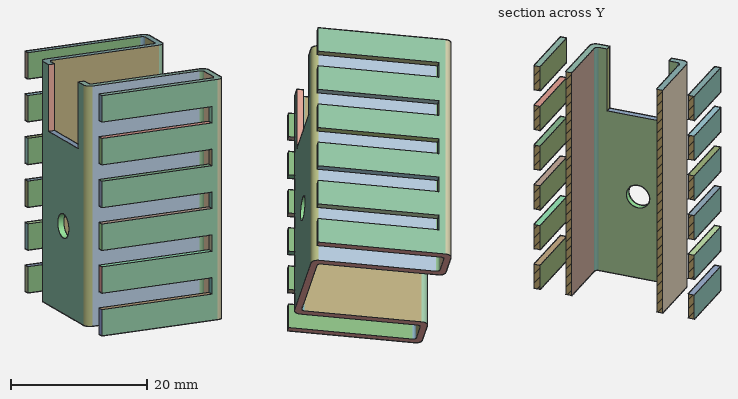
import cadquery as cq

WIDTH = 25.56
DEPTH = 19.99
HEIGHT = 36.83

SHEET = 1.0
OUTER_BEND = 1.0
INNER_BEND = 0.5

CHANNEL_WIDTH = 15.48

FIN_COUNT = 6
SLOT_HEIGHT = 2.5
SLOT_END_TO_BACK = 2.0
FIN_HEIGHT = (HEIGHT - (FIN_COUNT - 1) * SLOT_HEIGHT) / FIN_COUNT
FIN_PITCH = FIN_HEIGHT + SLOT_HEIGHT

NOTCH_WIDTH = 9.8
NOTCH_DEPTH = 10.2
HOLE_DIAMETER = 3.68
HOLE_Z = 13.45

HALF_WIDTH = WIDTH / 2
HALF_CHANNEL = CHANNEL_WIDTH / 2
CHANNEL_INSIDE = HALF_CHANNEL - SHEET
FIN_INSIDE = HALF_WIDTH - SHEET


def upright_block(x_min, x_max, y_min, y_max, z_min, z_max):
    """Box between the given limits."""
    size = (x_max - x_min, y_max - y_min, z_max - z_min)
    return cq.Workplane("XY").box(*size, centered=False).translate((x_min, y_min, z_min))


def channel():
    """Front web with its two inner legs; the bends run along Z."""
    outside = upright_block(-HALF_CHANNEL, HALF_CHANNEL, 0, DEPTH - OUTER_BEND, 0, HEIGHT)
    outside = outside.edges("|Z and <Y").fillet(OUTER_BEND)
    inside = upright_block(-CHANNEL_INSIDE, CHANNEL_INSIDE, SHEET, DEPTH, 0, HEIGHT)
    inside = inside.edges("|Z and <Y").fillet(INNER_BEND)
    return outside.cut(inside)


def side_fold(side):
    """U-shaped fold on one side (-1 or +1): inner leg, back wall and outer wall."""
    outer_x = sorted((side * CHANNEL_INSIDE, side * HALF_WIDTH))
    outside = upright_block(*outer_x, 2 * OUTER_BEND, DEPTH, 0, HEIGHT)
    outside = outside.edges("|Z and >Y").fillet(OUTER_BEND)
    wall_x = sorted((side * FIN_INSIDE, side * HALF_WIDTH))
    wall = upright_block(*wall_x, 0, DEPTH - OUTER_BEND, 0, HEIGHT)
    inner_x = sorted((side * HALF_CHANNEL, side * FIN_INSIDE))
    inside = upright_block(*inner_x, 0, DEPTH - SHEET, 0, HEIGHT)
    inside = inside.edges("|Z and >Y").fillet(INNER_BEND)
    return outside.union(wall).cut(inside)


def fin_slots(side):
    """Slots through one outer wall, open at the front; each cutter ends at the inner leg."""
    wall_x = sorted((side * HALF_CHANNEL, side * HALF_WIDTH))
    slots = cq.Workplane("XY")
    for index in range(FIN_COUNT - 1):
        bottom = FIN_HEIGHT + index * FIN_PITCH
        slot = upright_block(*wall_x, 0, DEPTH - SLOT_END_TO_BACK, bottom, bottom + SLOT_HEIGHT)
        slots = slots.add(slot)
    return slots.combine()


def web_notch():
    """Rectangular notch in the top of the front web."""
    return upright_block(-NOTCH_WIDTH / 2, NOTCH_WIDTH / 2, 0, SHEET, HEIGHT - NOTCH_DEPTH, HEIGHT)


def mounting_hole():
    """Cylinder along Y through the front web."""
    profile = cq.Workplane("XZ").center(0, HOLE_Z).circle(HOLE_DIAMETER / 2)
    return profile.extrude(-SHEET)


result = channel()
for side in (-1, 1):
    result = result.union(side_fold(side)).cut(fin_slots(side))
result = result.cut(web_notch()).cut(mounting_hole()).clean()